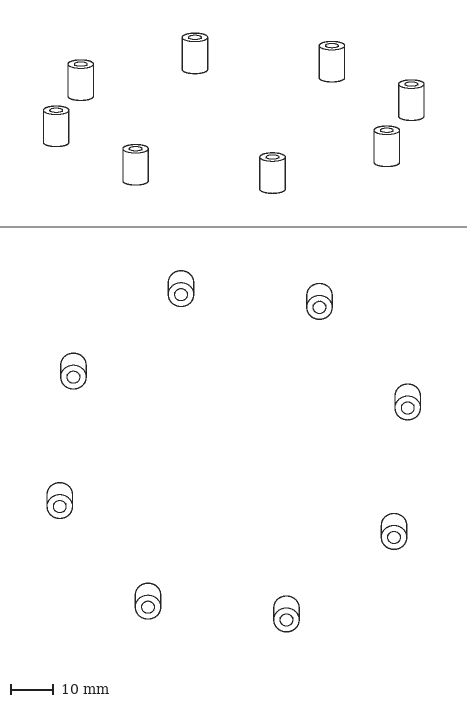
import cadquery as cq
import math

overall_span = 90.75
sleeve_count = 8
ring_rotation = -3.4

outer_diameter = 6.0
bore_diameter = outer_diameter / 2
sleeve_height = 8.0

ring_radius = (overall_span - outer_diameter) / 2 / math.cos(math.radians(ring_rotation))


def make_sleeve(angle):
    """Plain tube centred on the ring at the given angle in degrees."""
    x = ring_radius * math.cos(math.radians(angle))
    y = ring_radius * math.sin(math.radians(angle))
    return (
        cq.Workplane("XY")
        .center(x, y)
        .circle(outer_diameter / 2)
        .circle(bore_diameter / 2)
        .extrude(sleeve_height)
    )


sleeves = []
for index in range(sleeve_count):
    sleeve = make_sleeve(ring_rotation + index * 360 / sleeve_count)
    sleeves.append(sleeve.val())

result = cq.Compound.makeCompound(sleeves)